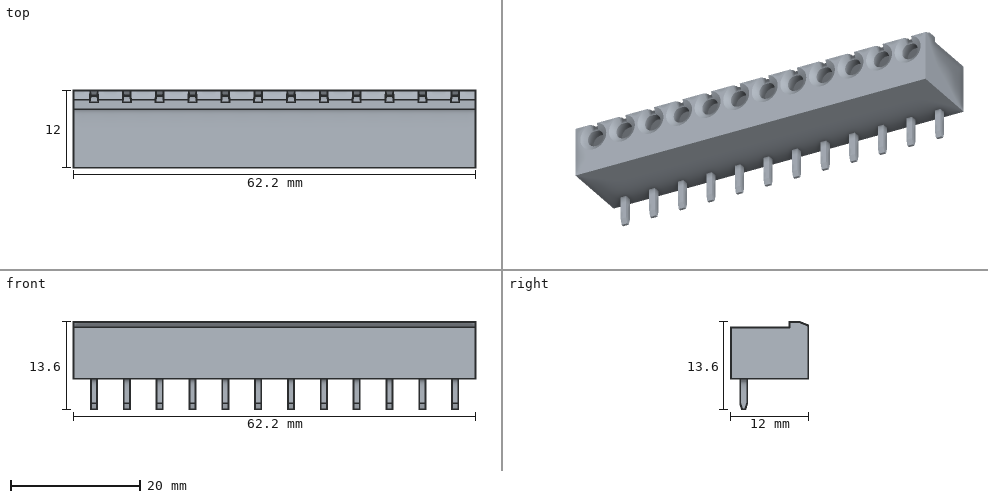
import cadquery as cq
import math

length = 62.25
depth = 12.0
height = 13.6

body_height = 8.85
deck_height = 8.0
ridge_depth = 2.9
slope_depth = 1.45
slope_drop = 0.55

pole_count = 12
end_margin = 3.2
pin_width = 1.0
pin_depth = 1.1
pin_setback = 2.0
tip_length = 0.95
tip_depth = 0.5

notch_top_width = 1.3
notch_bottom_width = 0.95
notch_reach = 1.8
notch_floor_angle = 57.0
notch_drop = 1.4
notch_overlap = 0.4
bore_radius = 1.4
bore_depth = 2.5
mouth_radius = 2.3
mouth_depth = 0.75

front_y = -depth / 2
back_y = depth / 2
pin_length = height - body_height
pitch = (length - 2 * end_margin) / (pole_count - 1)
pole_positions = [end_margin - length / 2 + i * pitch for i in range(pole_count)]


def make_housing():
    """Side outline in Y and Z, extruded along the full length."""
    outline = [
        (front_y, 0),
        (back_y, 0),
        (back_y, body_height - slope_drop),
        (back_y - slope_depth, body_height),
        (back_y - ridge_depth, body_height),
        (back_y - ridge_depth, deck_height),
        (front_y, deck_height),
    ]
    return cq.Workplane("YZ").polyline(outline).close().extrude(length / 2, both=True)


def make_pin():
    """Flat pin below the housing, its tip tapered in Y."""
    shoulder_z = tip_length - pin_length
    outline = [
        (-pin_depth / 2, 0),
        (-pin_depth / 2, shoulder_z),
        (-tip_depth / 2, -pin_length),
        (tip_depth / 2, -pin_length),
        (pin_depth / 2, shoulder_z),
        (pin_depth / 2, 0),
    ]
    pin = cq.Workplane("YZ").polyline(outline).close().extrude(pin_width / 2, both=True)
    return pin.translate((0, front_y + pin_setback, 0))


def make_funnel(axis_z):
    """Round bore along Y with a conical mouth at the back face."""
    profile = [
        (0, back_y),
        (mouth_radius, back_y),
        (bore_radius, back_y - mouth_depth),
        (bore_radius, back_y - bore_depth),
        (0, back_y - bore_depth),
    ]
    funnel = cq.Workplane("XY").polyline(profile).close().revolve(360, (0, 0), (0, 1))
    return funnel.translate((0, 0, axis_z))


def make_notch(bottom_z):
    """Steep-floored notch through the ridge, its side walls leaning outward towards the top."""
    drop = body_height - bottom_z
    floor_run = drop / math.tan(math.radians(notch_floor_angle))
    notch_front = back_y - notch_reach
    side_outline = [
        (notch_front, body_height),
        (notch_front + floor_run, bottom_z),
        (back_y, bottom_z),
        (back_y, body_height),
    ]
    cross_section = [
        (-notch_top_width / 2, body_height),
        (-notch_bottom_width / 2, bottom_z),
        (notch_bottom_width / 2, bottom_z),
        (notch_top_width / 2, body_height),
    ]
    side_block = cq.Workplane("YZ").polyline(side_outline).close().extrude(notch_top_width, both=True)
    tapered_slot = cq.Workplane("XZ").polyline(cross_section).close().extrude(depth, both=True)
    return side_block.intersect(tapered_slot)


def make_wire_entry():
    """Flared bore with the notch breaking into it from above."""
    bore_top_z = body_height - notch_drop
    axis_z = bore_top_z - bore_radius
    notch_bottom_z = bore_top_z - notch_overlap
    return make_funnel(axis_z).union(make_notch(notch_bottom_z))


pin = make_pin()
wire_entry = make_wire_entry()
result = make_housing()
for x in pole_positions:
    result = result.union(pin.translate((x, 0, 0)))
    result = result.cut(wire_entry.translate((x, 0, 0)))